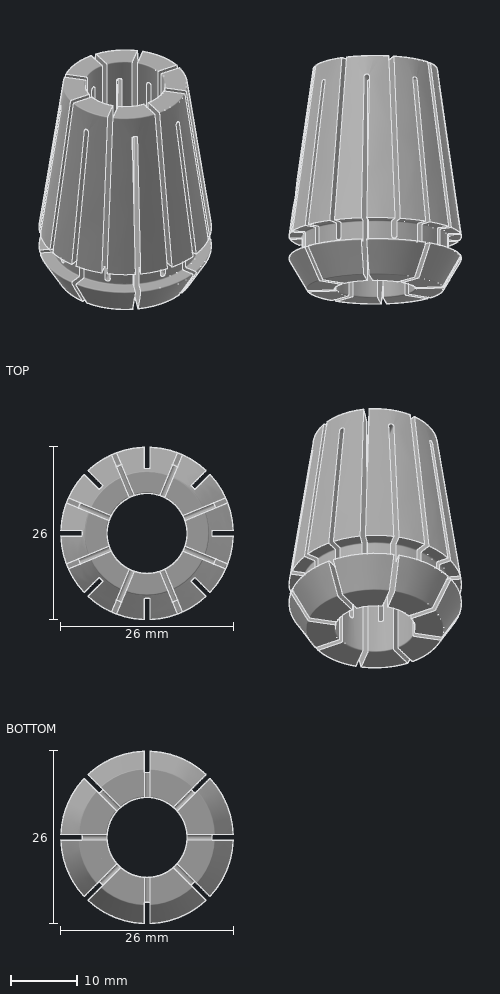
import cadquery as cq
import math

height = 34.0
outer_radius = 13.0
bore_radius = 12.0 / 2
edge_fillet = 0.2

taper_base_z = 8.15
taper_angle = 8.0

groove_radius = 11.0
groove_floor_z = 4.95

nose_angle = 30.0

slot_count = 8
slot_width = 0.8
lower_slot_end_z = 31.0
upper_slot_end_z = 5.5


def sharp_body():
    """Nose, groove and taper around the through bore, before its edges are rounded."""
    nose_tilt = math.radians(nose_angle)
    rim_overhang = edge_fillet * (math.tan(nose_tilt) + 1 / math.cos(nose_tilt) - 1)
    rim_radius = outer_radius + rim_overhang
    nose_base_radius = rim_radius - groove_floor_z * math.tan(nose_tilt)
    taper_top_radius = outer_radius - (height - taper_base_z) * math.tan(math.radians(taper_angle))
    profile = [
        (bore_radius, 0),
        (nose_base_radius, 0),
        (rim_radius, groove_floor_z),
        (groove_radius, groove_floor_z),
        (groove_radius, taper_base_z),
        (outer_radius, taper_base_z),
        (taper_top_radius, height),
        (bore_radius, height),
    ]
    return cq.Workplane("XZ").polyline(profile).close().revolve(360, (0, 0, 0), (0, 1, 0))


def round_edges(body):
    """Round every circular edge except the sharp lower edge of the long taper."""
    tolerance = 0.0005
    rounded = body.edges("%CIRCLE").filter(lambda edge: abs(edge.radius() - outer_radius) > tolerance)
    return rounded.fillet(edge_fillet)


def cut_radial_slots(body, open_z, end_z, first_angle):
    """Cut slots from an open end face to a rounded end, spread evenly around the axis."""
    half_width = slot_width / 2
    toward_open = math.copysign(1, open_z - end_z)
    straight_end_z = end_z + toward_open * half_width
    cutter = (
        cq.Workplane("YZ")
        .moveTo(-half_width, open_z)
        .lineTo(-half_width, straight_end_z)
        .threePointArc((0, end_z), (half_width, straight_end_z))
        .lineTo(half_width, open_z)
        .close()
        .extrude(outer_radius + slot_width)
    )
    for index in range(slot_count):
        angle = first_angle + index * 360 / slot_count
        body = body.cut(cutter.rotate((0, 0, 0), (0, 0, 1), angle))
    return body


result = round_edges(sharp_body())
result = cut_radial_slots(result, 0, lower_slot_end_z, 0)
result = cut_radial_slots(result, height, upper_slot_end_z, 180 / slot_count)